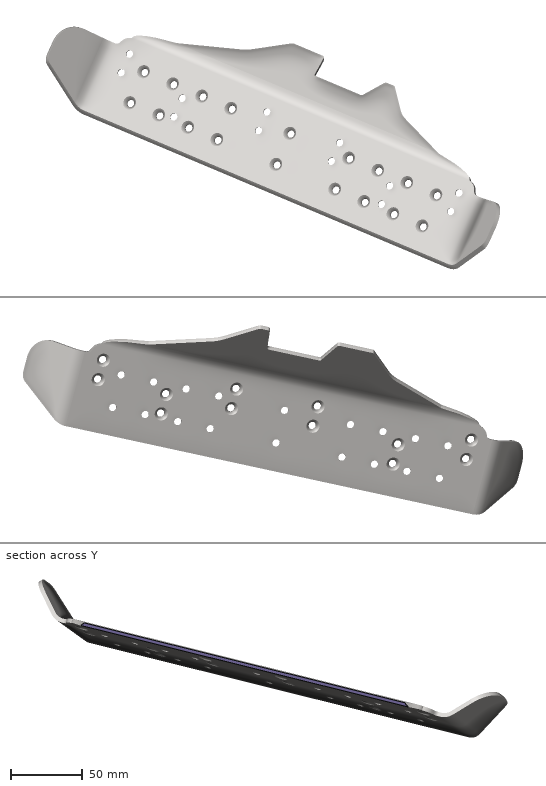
import cadquery as cq
import math

sheet = 3.0
bend_inner = 10.0
bend_outer = bend_inner + sheet
tread_angle = 40.0
tail_angle = 5.0
wing_angle = 45.0
overall_length = 368.3
overall_depth = 103.05

tread_half = 151.6
tread_run = 60.2
back_edge = 52.2
shoulder_start = 151.0
shoulder_middle = (146.2, 56.3)
shoulder_end = 140.5
shoulder_end_slope = 0.3

wing_back_radius = 17.0
wing_front_radius = 6.5

bend_edge_middle = 132.5
rear_root_half = 109.0
rear_knee = (64.5, 22.1)
rear_knee_radius = 25.0
rear_tip_half = 42.3
rear_tip_radius = 2.0
notch_centre = 9.4
notch_depth = 22.6
notch_floor_half = 19.8
notch_mouth_half = 25.4
notch_corner_radius = 1.5

screw_diameter = 5.3
screw_head_diameter = 9.5
screw_head_angle = 90.0
screw_pitch = 24.2
screw_inner = 49.0
screws_per_group = 4
screw_rows = (17.5, 41.5)
small_pitch = 14.3
small_low_row = 20.5
small_high_row = small_low_row + small_pitch
small_pairs = (
    (-137.0, small_high_row),
    (-86.3, small_low_row),
    (-22.8, small_high_row),
    (37.8, small_high_row),
    (86.3, small_low_row),
    (137.0, small_high_row),
)

slope = math.radians(tread_angle)
tail = math.radians(tail_angle)
turn = math.radians(wing_angle)
bend_turn = tread_angle + tail_angle
front_height = sheet / math.cos(slope)
bend_start_y = tread_run * math.cos(slope)
bend_start_z = front_height + tread_run * math.sin(slope)
axis_y = bend_start_y + bend_outer * math.sin(slope)
axis_z = bend_start_z - bend_outer * math.cos(slope)
margin = 40.0
rear_start_y = axis_y + bend_outer * math.sin(tail)
rear_start_z = axis_z + bend_outer * math.cos(tail)
rear_length = (overall_depth - rear_start_y) / math.cos(tail)
knife_overlap = 1.0
knife_steps = 6
knife_stations = [bend_turn * i / knife_steps for i in range(-1, knife_steps + 2)]

tread_plane = cq.Plane(
    origin=(0, 0, front_height), xDir=(1, 0, 0), normal=(0, -math.sin(slope), math.cos(slope))
)

rear_plane = cq.Plane(
    origin=(0, rear_start_y, rear_start_z), xDir=(1, 0, 0), normal=(0, math.sin(tail), math.cos(tail))
)


def on_bend(radius, degrees):
    """Y and Z on the rear bend, counted in degrees from the tread."""
    lean = slope - math.radians(degrees)
    return axis_y - radius * math.sin(lean), axis_z + radius * math.cos(lean)


def bend_half_width(degrees):
    """Half width of the sheet on the rear bend: a parabola through its start, middle and end."""
    t = degrees / bend_turn
    start_share = (1 - t) * (1 - 2 * t)
    middle_share = 4 * t * (1 - t)
    end_share = t * (2 * t - 1)
    return start_share * shoulder_end + middle_share * bend_edge_middle + end_share * rear_root_half


def keep_centre(body, knife):
    """Cut the body with a face and its mirror image, and keep the piece on the centre plane."""
    pieces = body.split(knife, knife.mirror("YZ")).Solids()
    return min(pieces, key=lambda piece: abs(piece.Center().x))


def make_tread():
    outline = (
        cq.Workplane(tread_plane)
        .moveTo(-tread_half, -margin)
        .lineTo(-tread_half, back_edge)
        .lineTo(-shoulder_start, back_edge)
        .spline(
            [(-shoulder_middle[0], shoulder_middle[1]), (-shoulder_end, tread_run)],
            tangents=[(1, 0), (1, shoulder_end_slope)],
            includeCurrent=True,
        )
        .lineTo(0, tread_run)
        .lineTo(0, -margin)
        .close()
    )
    half = outline.extrude(-sheet)
    return half.union(half.mirror("YZ"))


def make_wing():
    """Right-hand wing with its bend."""
    centre_h = bend_inner
    end_x = tread_half + bend_inner * math.sin(turn)
    end_h = bend_inner * (1 - math.cos(turn))
    bend_section = (
        cq.Workplane("XZ")
        .moveTo(tread_half, 0)
        .threePointArc(
            (
                tread_half + bend_inner * math.sin(turn / 2),
                centre_h - bend_inner * math.cos(turn / 2),
            ),
            (end_x, end_h),
        )
        .lineTo(end_x + sheet * math.sin(turn), end_h - sheet * math.cos(turn))
        .threePointArc(
            (
                tread_half + bend_outer * math.sin(turn / 2),
                centre_h - bend_outer * math.cos(turn / 2),
            ),
            (tread_half, -sheet),
        )
        .close()
        .extrude(-back_edge - margin)
        .translate((0, -margin, 0))
    )
    reach = (overall_length / 2 - sheet * math.sin(turn) - end_x) / math.cos(turn)
    wing_plane = cq.Plane(
        origin=(end_x, 0, end_h),
        xDir=(math.cos(turn), 0, math.sin(turn)),
        normal=(-math.sin(turn), 0, math.cos(turn)),
    )
    blade = (
        cq.Workplane(wing_plane)
        .moveTo(0, -margin)
        .lineTo(reach, -margin)
        .lineTo(reach, back_edge - wing_back_radius)
        .radiusArc((reach - wing_back_radius, back_edge), -wing_back_radius)
        .lineTo(0, back_edge)
        .close()
        .extrude(-sheet)
    )
    local = bend_section.union(blade)
    return cq.Workplane(local.val().moved(cq.Location(tread_plane)))


def make_rear_bend():
    start_out = on_bend(bend_outer, 0)
    start_in = on_bend(bend_inner, 0)
    end_out = on_bend(bend_outer, bend_turn)
    end_in = on_bend(bend_inner, bend_turn)
    block = (
        cq.Workplane("YZ")
        .moveTo(*start_in)
        .lineTo(*start_out)
        .threePointArc(on_bend(bend_outer, bend_turn / 2), end_out)
        .lineTo(*end_in)
        .threePointArc(on_bend(bend_inner, bend_turn / 2), start_in)
        .close()
        .extrude(tread_half, both=True)
    )
    rails = []
    for radius in (bend_inner - knife_overlap, bend_outer + knife_overlap):
        points = [cq.Vector(bend_half_width(at), *on_bend(radius, at)) for at in knife_stations]
        rails.append(cq.Edge.makeSpline(points))
    knife = cq.Face.makeRuledSurface(*rails)
    return cq.Workplane(keep_centre(block.val(), knife))


def make_rear_plate():
    plate = (
        cq.Workplane(rear_plane)
        .moveTo(-rear_root_half, 0)
        .lineTo(-rear_knee[0], rear_knee[1])
        .lineTo(-rear_tip_half, rear_length)
        .lineTo(rear_tip_half, rear_length)
        .lineTo(*rear_knee)
        .lineTo(rear_root_half, 0)
        .close()
        .extrude(-sheet)
    )
    for side in (1, -1):
        knee = rear_plane.toWorldCoords((side * rear_knee[0], rear_knee[1], -sheet / 2))
        corner = cq.selectors.NearestToPointSelector(knee)
        plate = plate.edges(corner).fillet(rear_knee_radius)

    notch_floor = rear_length - notch_depth
    notch = (
        cq.Workplane(rear_plane)
        .moveTo(notch_centre - notch_floor_half, notch_floor)
        .lineTo(notch_centre + notch_floor_half, notch_floor)
        .lineTo(notch_centre + notch_mouth_half, rear_length)
        .lineTo(notch_centre - notch_mouth_half, rear_length)
        .close()
        .extrude(-sheet)
    )
    through = cq.selectors.ParallelDirSelector(rear_plane.zDir)
    notch = notch.edges(through).edges("<Y").fillet(notch_corner_radius)
    plate = plate.cut(notch)
    return plate.edges(through).edges(">Y").fillet(rear_tip_radius)


def drill_holes(body):
    group = [screw_inner + i * screw_pitch for i in range(screws_per_group)]
    columns = [-x for x in group] + [0] + group
    screws = [(x, v) for x in columns for v in screw_rows]
    small = [(x, v + step) for x, v in small_pairs for step in (0, small_pitch)]
    upper_face = cq.Workplane(tread_plane).add(body).pushPoints(screws)
    body = upper_face.cskHole(screw_diameter, screw_head_diameter, screw_head_angle)
    under_plane = cq.Plane(
        origin=tread_plane.toWorldCoords((0, 0, -sheet)), xDir=(1, 0, 0), normal=-tread_plane.zDir
    )
    under_face = cq.Workplane(under_plane).add(body).pushPoints([(x, -v) for x, v in small])
    return under_face.cskHole(screw_diameter, screw_head_diameter, screw_head_angle)


def trim_front(body):
    """Cut the front edge upright and round the front corner of each wing."""
    block = overall_length + margin
    waste = cq.Workplane("XY").box(block, block, block).translate((0, -block / 2, 0))
    body = body.cut(waste)
    for side in (">X", "<X"):
        corner = body.faces(side).edges("<Y")
        body = corner.fillet(wing_front_radius)
    return body


wing = make_wing()
body = make_tread().union(wing).union(wing.mirror("YZ"))
body = trim_front(body).union(make_rear_bend()).union(make_rear_plate())
result = drill_holes(body)